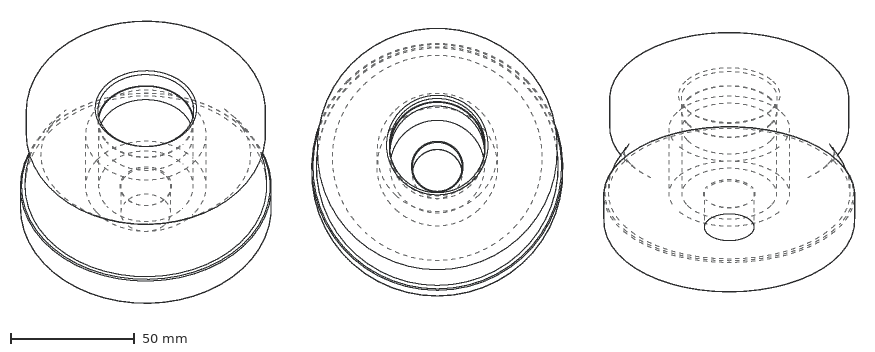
import cadquery as cq

total_height = 63.5
base_radius = 50.8

flange_top = 16.2
flange_fillet = 3.3
flange_chamfer = 0.5
hub_radius = 24.4
hub_top = total_height - 16.1
bore_radius = 19.1
floor_height = flange_top
bolt_hole_radius = 10.1
bolt_hole_chamfer = 0.4

head_radius = 48.5
head_fillet = 2.0
head_bottom = 48.6
neck_top_radius = 47.3
neck_top = 46.3
waist_radius = 42.5
waist_height = 35.8
cone_top_radius = 44.8
cone_top = 27.6
cone_bottom_radius = 47.3
cone_bottom = 23.5
foot_radius = 48.9
mouth_radius = 19.4
mouth_depth = 7.9
mouth_chamfer = 1.1


def cylinder(radius, bottom, top):
    """Solid cylinder about Z between two heights."""
    return cq.Workplane("XY").workplane(offset=bottom).circle(radius).extrude(top - bottom)


def make_base():
    """Flange and hub with a stepped bore for the bolt."""
    flange = cylinder(base_radius, 0, flange_top)
    flange = flange.faces("<Z").edges().fillet(flange_fillet)
    flange = flange.faces(">Z").edges().chamfer(flange_chamfer)
    hub = cylinder(hub_radius, flange_top, hub_top)
    countersink = cq.Workplane(cq.Solid.makeCone(
        bolt_hole_radius,
        bolt_hole_radius + bolt_hole_chamfer,
        bolt_hole_chamfer,
        cq.Vector(0, 0, floor_height - bolt_hole_chamfer),
    ))
    bolt_hole = cylinder(bolt_hole_radius, 0, floor_height).union(countersink)
    bore = cylinder(bore_radius, floor_height, hub_top)
    return flange.union(hub).cut(bolt_hole).cut(bore)


def make_bumper_blank():
    """Solid of revolution: straight head, concave waist, cone and rounded foot."""
    outline = (
        cq.Workplane("XZ")
        .moveTo(0, flange_top)
        .lineTo(0, total_height)
        .lineTo(head_radius, total_height)
        .lineTo(head_radius, head_bottom)
        .tangentArcPoint((neck_top_radius, neck_top), relative=False)
        .threePointArc((waist_radius, waist_height), (cone_top_radius, cone_top))
        .lineTo(cone_bottom_radius, cone_bottom)
        .tangentArcPoint((foot_radius, flange_top), relative=False)
        .close()
    )
    return outline.revolve(360, (0, 0, 0), (0, 1, 0))


def make_bumper():
    """Bumper with a rounded top rim, a chamfered mouth and a recess for the hub."""
    bumper = make_bumper_blank().faces(">Z").edges().fillet(head_fillet)
    bumper = bumper.cut(cylinder(hub_radius, flange_top, hub_top))
    bumper = bumper.cut(cylinder(bore_radius, hub_top, total_height))
    bumper = bumper.cut(cylinder(mouth_radius, total_height - mouth_depth, total_height))
    mouth_edge = cq.selectors.RadiusNthSelector(0)
    return bumper.faces(">Z").edges(mouth_edge).chamfer(mouth_chamfer)


base = make_base()
bumper = make_bumper()
result = cq.Compound.makeCompound([base.val(), bumper.val()])